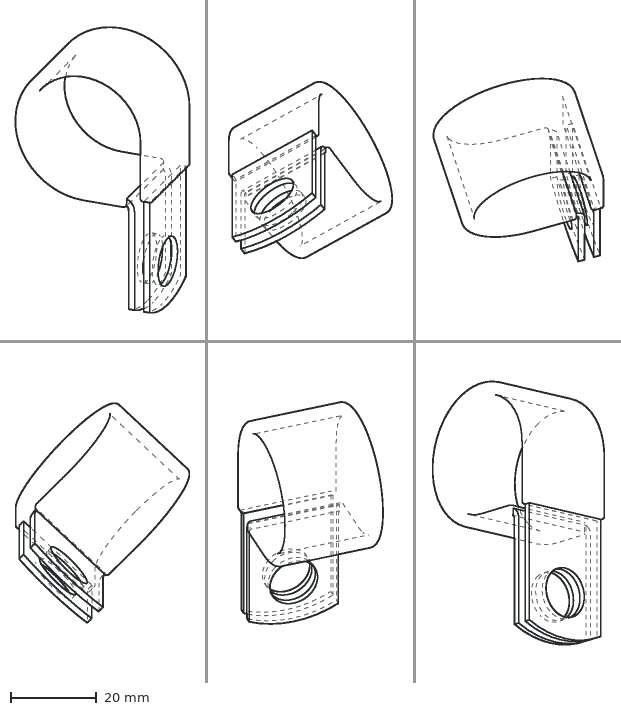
import cadquery as cq
import math

overall_height = 63.4
cushion_outer_radius = 17.41
cushion_thickness = 3.1
cushion_width = 23.8
edge_round = 0.75
cushion_arm_drop = 15.1
cushion_arm_reach = 10.7

strap_thickness = 1.5
strap_width = cushion_width - 2 * edge_round
strap_outer_radius = 16.55
near_leg_inner = 11.2
bend_inner_radius = 1.5
tip_rise = 2.55

hole_diameter = 11.85
hole_to_tip = 11.15

cushion_inner_radius = cushion_outer_radius - cushion_thickness
strap_inner_radius = strap_outer_radius - strap_thickness
bend_outer_radius = bend_inner_radius + strap_thickness
near_leg_outer = near_leg_inner + strap_thickness
bend_centre_x = near_leg_inner - bend_inner_radius
bend_centre_z = -strap_inner_radius - bend_outer_radius
tip_z = cushion_outer_radius - overall_height
diagonal = math.sqrt(0.5)


def centred_extrusion(outline, width):
    """Extrude a closed XZ outline equally to both sides of the mid plane."""
    return outline.close().extrude(width / 2, both=True)


def loop_mid(radius):
    """Middle of the three-quarter loop, at its upper left."""
    return (-radius * diagonal, radius * diagonal)


def make_cushion():
    """Rounded cushion: a three-quarter loop with a straight arm at each end."""
    outline = (
        cq.Workplane("XZ")
        .moveTo(cushion_outer_radius, -cushion_arm_drop)
        .lineTo(cushion_outer_radius, 0)
        .threePointArc(loop_mid(cushion_outer_radius), (0, -cushion_outer_radius))
        .lineTo(cushion_arm_reach, -cushion_outer_radius)
        .lineTo(cushion_arm_reach, -cushion_inner_radius)
        .lineTo(0, -cushion_inner_radius)
        .threePointArc(loop_mid(cushion_inner_radius), (cushion_inner_radius, 0))
        .lineTo(cushion_inner_radius, -cushion_arm_drop)
    )
    body = centred_extrusion(outline, cushion_width)
    side_edges = body.faces("<Y or >Y").edges()
    end_edges = body.edges("|Y").filter(is_arm_end)
    return body.newObject(side_edges.vals() + end_edges.vals()).fillet(edge_round)


def is_arm_end(edge):
    """True for the edges across the free end of either cushion arm."""
    tolerance = 0.005
    centre = edge.Center()
    at_drop = abs(centre.z + cushion_arm_drop) < tolerance
    at_reach = abs(centre.x - cushion_arm_reach) < tolerance
    return at_drop or at_reach


def make_strap():
    """Strap running through the cushion, with two parallel mounting legs."""
    bend_outer_mid = (
        bend_centre_x + bend_outer_radius * diagonal,
        bend_centre_z + bend_outer_radius * diagonal,
    )
    bend_inner_mid = (
        bend_centre_x + bend_inner_radius * diagonal,
        bend_centre_z + bend_inner_radius * diagonal,
    )
    outline = (
        cq.Workplane("XZ")
        .moveTo(strap_outer_radius, tip_z)
        .lineTo(strap_outer_radius, 0)
        .threePointArc(loop_mid(strap_outer_radius), (0, -strap_outer_radius))
        .lineTo(bend_centre_x, -strap_outer_radius)
        .threePointArc(bend_inner_mid, (near_leg_inner, bend_centre_z))
        .lineTo(near_leg_inner, tip_z)
        .lineTo(near_leg_outer, tip_z)
        .lineTo(near_leg_outer, bend_centre_z)
        .threePointArc(bend_outer_mid, (bend_centre_x, -strap_inner_radius))
        .lineTo(0, -strap_inner_radius)
        .threePointArc(loop_mid(strap_inner_radius), (strap_inner_radius, 0))
        .lineTo(strap_inner_radius, tip_z)
    )
    strap = centred_extrusion(outline, strap_width)

    half_width = strap_width / 2
    tip_corner_z = tip_z + tip_rise
    silhouette = (
        cq.Workplane("YZ")
        .moveTo(-half_width, strap_outer_radius)
        .lineTo(-half_width, tip_corner_z)
        .threePointArc((0, tip_z), (half_width, tip_corner_z))
        .lineTo(half_width, strap_outer_radius)
        .close()
        .extrude(cushion_outer_radius, both=True)
    )
    bolt_hole = (
        cq.Workplane("YZ")
        .center(0, tip_z + hole_to_tip)
        .circle(hole_diameter / 2)
        .extrude(cushion_outer_radius)
    )
    return strap.intersect(silhouette).cut(bolt_hole)


result = make_cushion().union(make_strap())